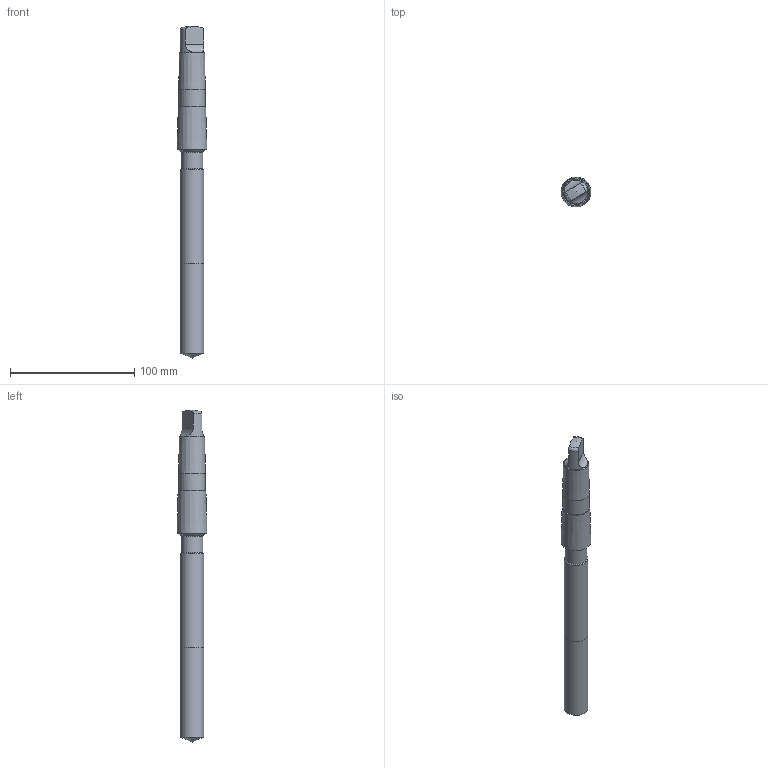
import cadquery as cq
import math

overall_length = 266.7
drill_diameter = 19.0
neck_diameter = 17.55
point_angle = 135.0
cutting_length = 76.2

shank_length = 99.0
shank_large_diameter = 24.07
taper_rate = 1 / 19.922
relief_diameter = 21.2
relief_start = 34.2
relief_length = 13.8
shoulder_diameter = 22.0
shoulder_height = 1.6

neck_length = 13.4
neck_chamfer = (drill_diameter - neck_diameter) / 2

tang_length = 21.5
tang_diameter = 18.8
tang_thickness = 8.0
tang_flat_radius = 7.0
tang_angle = 31.0
tang_corner_radius = 2.0
tang_crown_height = 1.1

drill_radius = drill_diameter / 2
neck_radius = neck_diameter / 2
tang_radius = tang_diameter / 2
relief_radius = relief_diameter / 2
point_height = drill_radius / math.tan(math.radians(point_angle / 2))
shank_base = overall_length - shank_length
shoulder_base = shank_base - shoulder_height
neck_top = shoulder_base - neck_chamfer
neck_bottom = neck_top - neck_length
relief_bottom = shank_base + relief_start
relief_top = relief_bottom + relief_length
tang_base = overall_length - tang_length
crown_base = overall_length - tang_crown_height


def taper_radius(z):
    """Radius of the taper shank at height z."""
    return (shank_large_diameter - taper_rate * (z - shank_base)) / 2


def make_cutting_part():
    """Solid drill end with its conical point."""
    profile = (
        cq.Workplane("XZ")
        .moveTo(0, 0)
        .lineTo(drill_radius, point_height)
        .lineTo(drill_radius, cutting_length)
        .lineTo(0, cutting_length)
        .close()
    )
    return profile.revolve(360, (0, 0, 0), (0, 1, 0))


def make_turned_holder():
    """Drill body, neck, taper shank and round tang blank."""
    profile = (
        cq.Workplane("XZ")
        .moveTo(0, cutting_length)
        .lineTo(drill_radius, cutting_length)
        .lineTo(drill_radius, neck_bottom - neck_chamfer)
        .lineTo(neck_radius, neck_bottom)
        .lineTo(neck_radius, neck_top)
        .lineTo(drill_radius, shoulder_base)
        .lineTo(shoulder_diameter / 2, shank_base)
        .lineTo(taper_radius(shank_base), shank_base)
        .lineTo(taper_radius(relief_bottom), relief_bottom)
        .lineTo(relief_radius, relief_bottom)
        .lineTo(relief_radius, relief_top)
        .lineTo(taper_radius(relief_top), relief_top)
        .lineTo(taper_radius(tang_base), tang_base)
        .lineTo(tang_radius, tang_base)
        .lineTo(tang_radius, crown_base - tang_corner_radius)
        .radiusArc((tang_radius - tang_corner_radius, crown_base), -tang_corner_radius)
        .lineTo(0, overall_length)
        .close()
    )
    return profile.revolve(360, (0, 0, 0), (0, 1, 0))


def make_tang_side_cutter(side):
    """Material beside one tang flat, which runs out at its foot in a concave radius."""
    flat = side * tang_thickness / 2
    outside = side * shank_large_diameter
    return (
        cq.Workplane("YZ")
        .moveTo(flat, overall_length)
        .lineTo(flat, tang_base + tang_flat_radius)
        .radiusArc((flat + side * tang_flat_radius, tang_base), -side * tang_flat_radius)
        .lineTo(outside, tang_base)
        .lineTo(outside, overall_length)
        .close()
        .extrude(shank_large_diameter, both=True)
    )


def turn_about_axis(body):
    """Turn a body about Z to the angular position of the tang."""
    return body.rotate((0, 0, 0), (0, 0, 1), tang_angle)


cutting_part = turn_about_axis(make_cutting_part())

holder = make_turned_holder()
for side in (-1, 1):
    holder = holder.cut(make_tang_side_cutter(side))
holder = turn_about_axis(holder)

result = cq.Compound.makeCompound([cutting_part.val(), holder.val()])